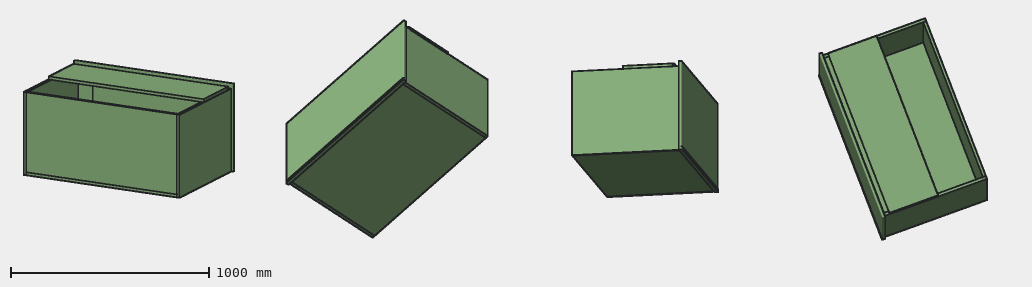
import cadquery as cq

board = 16.0
overall_depth = 569.0
box_width = 892.0
box_height = 435.0

facade_width = 910.0
facade_height = 460.0
facade_rounding = 2.0
lip_height = 15.5
lip_projection = 2.0

inlay_width = 692.0
inlay_thickness = 8.0

rail_depth = 80.0

cover_inset = 3.0
cover_rear = 262.0
cover_depth = 263.0
cover_bevel = 11.0

box_depth = overall_depth - lip_projection - board
inner_width = box_width - 2 * board
rail_bottom = box_height - board


def centred_board(width, y_start, y_end, z_bottom, z_top):
    """A rectangular board, centred on X."""
    return (
        cq.Workplane("XY")
        .box(width, y_end - y_start, z_top - z_bottom, centered=(True, False, False))
        .translate((0, y_start, z_bottom))
    )


def make_side(direction):
    """A full-height side board; direction is -1 or +1 along X."""
    x_middle = direction * (box_width - board) / 2
    return centred_board(board, 0, box_depth, 0, box_height).translate((x_middle, 0, 0))


def make_floor():
    """The floor, between the two sides."""
    return centred_board(inner_width, 0, box_depth, 0, board)


def make_rear_panel():
    """The rear panel, standing on the floor between the two sides."""
    return centred_board(inner_width, 0, board, board, box_height)


def make_top_rail():
    """The rail level with the tops of the sides."""
    return centred_board(inner_width, box_depth - rail_depth, box_depth, rail_bottom, box_height)


def make_cover():
    """The cover board, with its +Y edge undercut."""
    y_upper = cover_rear + cover_depth
    y_lower = y_upper - cover_bevel
    top = box_height + board
    return (
        cq.Workplane("YZ")
        .moveTo(cover_rear, box_height)
        .lineTo(y_lower, box_height)
        .lineTo(y_upper, top)
        .lineTo(cover_rear, top)
        .close()
        .extrude(box_width / 2 - cover_inset, both=True)
    )


def make_inlay():
    """The inlay panel, from the floor up to the top rail."""
    return centred_board(inlay_width, box_depth, box_depth + inlay_thickness, board, rail_bottom)


def make_facade():
    """The rounded facade with its lip and the recess for the inlay."""
    outer_face = box_depth + board
    panel = (
        centred_board(facade_width, box_depth, outer_face, 0, facade_height)
        .edges("not <Z")
        .fillet(facade_rounding)
    )
    lip = (
        centred_board(facade_width, outer_face - facade_rounding, overall_depth, 0, lip_height)
        .edges(">Y and |Z")
        .fillet(facade_rounding)
    )
    return panel.union(lip).cut(make_inlay())


sides = [make_side(direction) for direction in (-1, 1)]
floor = make_floor()
rear_panel = make_rear_panel()
top_rail = make_top_rail()
cover = make_cover()
facade = make_facade()
inlay = make_inlay()

result = cq.Compound.makeCompound([
    *[side.val() for side in sides],
    floor.val(),
    rear_panel.val(),
    top_rail.val(),
    cover.solids().val(),
    facade.solids().val(),
    inlay.val(),
])